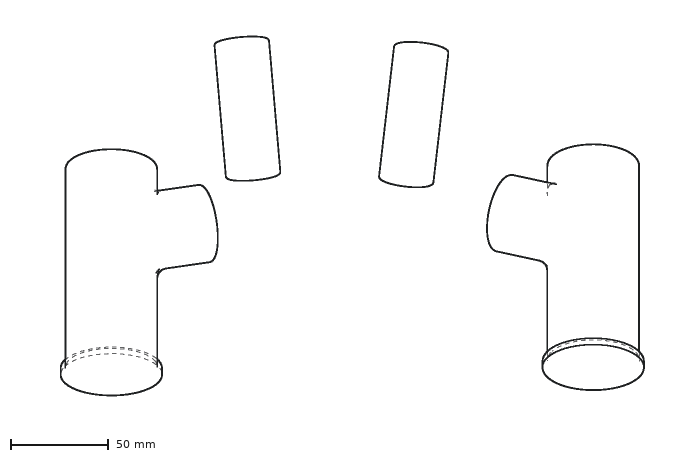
import cadquery as cq
import math

barrel_diameter = 47.0
barrel_height = 116.0
collar_diameter = 52.0
collar_height = 4.0
collar_fillet = 0.5
branch_diameter = 40.0
branch_axis_height = 77.2
overall_depth = 77.0
branch_reach = overall_depth - collar_diameter / 2
branch_fillet = 5.0
edge_fillet = 1.0

pin_diameter = 28.0
pin_length = 70.0
pin_tilt = 15.0
pin_fillet = 1.0
overall_width = 260.5
overall_height = 277.8


def make_tee():
    """Barrel and branch blended together, standing on a rounded collar."""
    barrel = cq.Workplane("XY").circle(barrel_diameter / 2).extrude(barrel_height)
    branch = (
        cq.Workplane("XZ", origin=(0, 0, branch_axis_height))
        .circle(branch_diameter / 2)
        .extrude(-branch_reach)
    )
    joint_box = cq.selectors.BoxSelector(
        (-barrel_diameter, 0, branch_axis_height - branch_diameter),
        (barrel_diameter, barrel_diameter / 2, branch_axis_height + branch_diameter / 2),
    )
    tee = barrel.union(branch).edges(joint_box).fillet(branch_fillet)
    tee = tee.faces(">Z").edges().fillet(edge_fillet)
    tee = tee.faces(">Y").edges().fillet(edge_fillet)
    collar = cq.Workplane("XY").circle(collar_diameter / 2).extrude(collar_height)
    collar = collar.faces(">Z").edges().fillet(collar_fillet)
    tee = tee.union(collar)
    root_reach = (barrel_diameter + collar_diameter) / 4
    root_box = cq.selectors.BoxSelector(
        (-root_reach, -root_reach, collar_height - collar_fillet / 2),
        (root_reach, root_reach, collar_height + collar_fillet / 2),
        boundingbox=True,
    )
    root = tee.edges("%CIRCLE").edges(root_box).edges(cq.selectors.RadiusNthSelector(0))
    return root.fillet(collar_fillet)


def make_pin():
    """Tilted cylinder set at the far +X, +Z corner of the overall envelope."""
    tilt = math.radians(pin_tilt)
    half_length = pin_length / 2
    radius = pin_diameter / 2
    rim_offset_axial = half_length - pin_fillet
    rim_offset_radial = radius - pin_fillet
    half_width = rim_offset_axial * math.sin(tilt) + rim_offset_radial * math.cos(tilt) + pin_fillet
    half_height = rim_offset_axial * math.cos(tilt) + rim_offset_radial * math.sin(tilt) + pin_fillet
    center_x = overall_width - collar_diameter / 2 - half_width
    center_z = overall_height - half_height
    pin = cq.Workplane("XY", origin=(0, 0, -half_length)).circle(radius).extrude(pin_length)
    pin = pin.faces("<Z or >Z").edges().fillet(pin_fillet)
    return pin.rotate((0, 0, 0), (0, 1, 0), -pin_tilt).translate((center_x, 0, center_z))


tee = make_tee()
pin = make_pin()
result = cq.Compound.makeCompound([tee.val(), pin.val()])